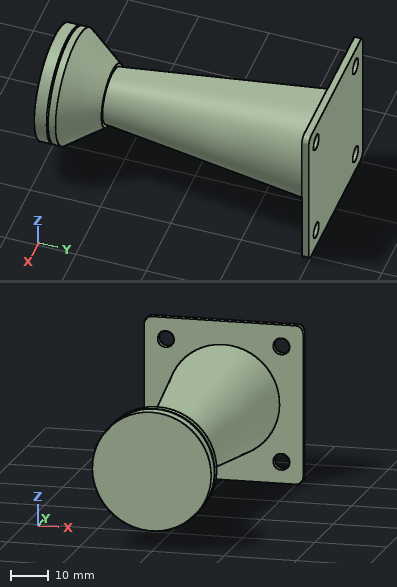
import cadquery as cq

plate_side = 44.0
plate_thickness = 2.0
plate_corner_radius = 2.0
hole_spacing = 32.0
hole_diameter = 4.5

total_length = 80.0
leg_base_radius = 15.5
leg_tip_radius = 8.0
foot_top_radius = 9.0
foot_radius = 16.5
foot_height = 16.5
pad_thickness = 3.5
groove_width = 0.5
groove_depth = 2.0
rim_height = 2.1

plate_front = total_length - plate_thickness
groove_top = pad_thickness + groove_width
rim_top = groove_top + rim_height
groove_radius = foot_radius - groove_depth


def make_plate():
    """Square plate with rounded corners and four screw holes."""
    return (
        cq.Workplane("XZ", origin=(0, total_length, 0))
        .rect(plate_side, plate_side)
        .extrude(plate_thickness)
        .edges("|Y")
        .fillet(plate_corner_radius)
        .faces("<Y")
        .workplane()
        .rect(hole_spacing, hole_spacing, forConstruction=True)
        .vertices()
        .hole(hole_diameter)
    )


def make_leg_and_foot():
    """Revolved half profile, given as (position along Y, radius)."""
    profile = [
        (0, 0),
        (0, foot_radius),
        (pad_thickness, foot_radius),
        (pad_thickness, groove_radius),
        (groove_top, groove_radius),
        (groove_top, foot_radius),
        (rim_top, foot_radius),
        (foot_height, foot_top_radius),
        (foot_height, leg_tip_radius),
        (plate_front, leg_base_radius),
        (plate_front, 0),
    ]
    return cq.Workplane("YZ").polyline(profile).close().revolve(360, (0, 0), (1, 0))


result = make_plate().union(make_leg_and_foot())